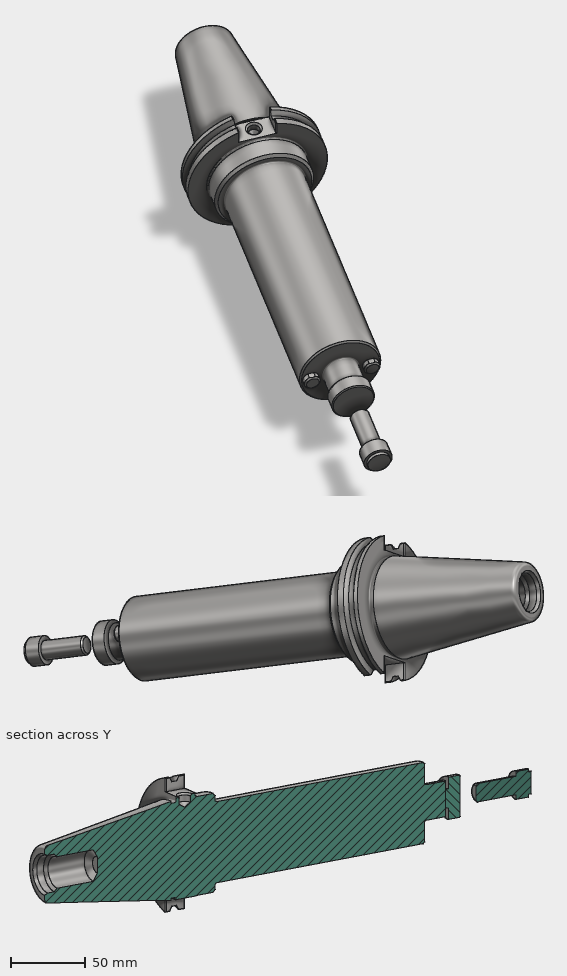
import cadquery as cq
import math

TAPER_LENGTH = 101.5
FLANGE_START = 105.5
FLANGE_END = 121.0
GROOVE_CENTER = 112.5
COLLAR_END = 137.0
BARREL_END = 305.0
PILOT_END = 322.0
DISC_START = 324.0
DISC_END = 333.5
CAP_SCREW_START = 346.0
CAP_HEAD_START = 378.0
CAP_HEAD_SHOULDER = 388.3
OVERALL_LENGTH = 390.5

GAUGE_DIAMETER = 70.0
TAPER_RATIO = 7 / 24
TIP_ROUNDING = 3.0
RELIEF_DIAMETER = 67.0
FLANGE_DIAMETER = 98.5
COLLAR_DIAMETER = 70.0
COLLAR_CHAMFER = 2.0
BARREL_DIAMETER = 57.5
BARREL_CHAMFER = 1.0
PILOT_DIAMETER = 25.5
ROOT_FILLET = 1.0

GROOVE_DEPTH = 3.5
GROOVE_FLOOR_WIDTH = 4.0
GROOVE_HALF_ANGLE = 30

SLOT_WIDTH = 25.8
SLOT_CHAMFER = 0.8
TOP_SLOT_HEIGHT = 37.5
BOTTOM_SLOT_HEIGHT = 35.0

DIMPLE_RIM_DIAMETER = 11.5
DIMPLE_DIAMETER = 8.5
DIMPLE_DEPTH = 6.0

BORE_RIM_DIAMETER = 29.0
BORE_RIM_LENGTH = 2.5
BORE_DIAMETER = 26.0
BORE_DEPTH = 8.0
THREAD_DIAMETER = 22.0
THREAD_DEPTH = 39.0
BORE_FLOOR_DIAMETER = 11.5

DRILL_POINT_ANGLE = 118
SELECT_MARGIN = 0.2

DOG_DIAMETER = 11.5
DOG_HEIGHT = 10.5
DOG_LENGTH = 4.5
DOG_OFFSET = 21.0
DOG_CHAMFER = 1.0

DISC_DIAMETER = 30.0
DISC_CHAMFER = 0.8
DISC_NECK_DIAMETER = 13.5

SCREW_DIAMETER = 13.3
SCREW_CHAMFER = 1.0
SCREW_HEAD_DIAMETER = 20.0
SCREW_BOSS_DIAMETER = 16.0


def drill_point_depth(large_diameter, small_diameter=0.0):
    """Length of a drill cone between two diameters."""
    half_angle = math.radians(DRILL_POINT_ANGLE / 2)
    return (large_diameter - small_diameter) / 2 / math.tan(half_angle)


def rod(start, end, diameter):
    """Cylinder along X between two positions."""
    return cq.Workplane("YZ", origin=(start, 0, 0)).circle(diameter / 2).extrude(end - start)


def turned(points):
    """Solid of revolution around X from (x, radius) points, closed along the axis."""
    first_x = points[0][0]
    last_x = points[-1][0]
    outline = [(first_x, 0)] + points + [(last_x, 0)]
    return cq.Workplane("XY").polyline(outline).close().revolve(360, (0, 0, 0), (1, 0, 0))


def flange_groove():
    outer_radius = FLANGE_DIAMETER / 2
    floor_radius = outer_radius - GROOVE_DEPTH
    floor_half = GROOVE_FLOOR_WIDTH / 2
    mouth_half = floor_half + GROOVE_DEPTH * math.tan(math.radians(GROOVE_HALF_ANGLE))
    outline = [
        (GROOVE_CENTER - mouth_half, outer_radius),
        (GROOVE_CENTER - floor_half, floor_radius),
        (GROOVE_CENTER + floor_half, floor_radius),
        (GROOVE_CENTER + mouth_half, outer_radius),
    ]
    return cq.Workplane("XY").polyline(outline).close().revolve(360, (0, 0, 0), (1, 0, 0))


def drive_slot(side, floor_height):
    """Slot above the axis for side = 1 and below it for side = -1.

    It runs across the flange and the root fillet behind it.
    """
    length = FLANGE_END + ROOT_FILLET - FLANGE_START
    depth = FLANGE_DIAMETER / 2 - floor_height
    middle_x = FLANGE_START + length / 2
    middle_z = side * (floor_height + depth / 2)
    slot = cq.Workplane("XY").box(length, SLOT_WIDTH, depth)
    return slot.translate((middle_x, 0, middle_z))


def drive_slots():
    return drive_slot(1, TOP_SLOT_HEIGHT).union(drive_slot(-1, BOTTOM_SLOT_HEIGHT))


def plain_flange():
    return rod(FLANGE_START, FLANGE_END, FLANGE_DIAMETER)


def slotted_flange():
    """Flange with both drive slots, the edges of their walls chamfered."""
    flange = plain_flange().cut(drive_slots())
    corner_height = math.sqrt((FLANGE_DIAMETER / 2) ** 2 - (SLOT_WIDTH / 2) ** 2)
    along_axis = cq.selectors.ParallelDirSelector(cq.Vector(1, 0, 0))
    for side in (1, -1):
        near_mouth = cq.selectors.BoxSelector(
            (FLANGE_START, -SLOT_WIDTH, side * (corner_height - SELECT_MARGIN)),
            (FLANGE_END, SLOT_WIDTH, side * (corner_height + SELECT_MARGIN)),
        )
        mouth_edges = cq.selectors.AndSelector(along_axis, near_mouth)
        flange = flange.edges(mouth_edges).chamfer(SLOT_CHAMFER)
    return flange.edges("|Z").chamfer(SLOT_CHAMFER)


def holder_blank():
    tip_diameter = GAUGE_DIAMETER - TAPER_LENGTH * TAPER_RATIO
    taper = turned([(0, tip_diameter / 2), (TAPER_LENGTH, GAUGE_DIAMETER / 2)])
    taper = taper.faces("<X").edges().fillet(TIP_ROUNDING)
    relief = rod(TAPER_LENGTH, FLANGE_START, RELIEF_DIAMETER)
    collar = rod(FLANGE_END, COLLAR_END, COLLAR_DIAMETER).faces(">X").chamfer(COLLAR_CHAMFER)
    barrel = rod(COLLAR_END, BARREL_END, BARREL_DIAMETER).faces(">X").chamfer(BARREL_CHAMFER)
    pilot = rod(BARREL_END, PILOT_END, PILOT_DIAMETER)
    blank = taper.union(relief).union(plain_flange()).union(collar).union(barrel).union(pilot)
    for root_x, diameter in (
        (FLANGE_START, RELIEF_DIAMETER),
        (FLANGE_END, COLLAR_DIAMETER),
        (COLLAR_END, BARREL_DIAMETER),
        (BARREL_END, PILOT_DIAMETER),
    ):
        blank = blank.edges(root_edge(root_x, diameter)).fillet(ROOT_FILLET)
    return blank


def root_edge(x, diameter):
    """Selector of the circular edge with this diameter at this X position."""
    reach = diameter / 2 + SELECT_MARGIN
    return cq.selectors.BoxSelector(
        (x - SELECT_MARGIN, -reach, -reach), (x + SELECT_MARGIN, reach, reach), boundingbox=True
    )


def slot_dimple():
    chamfer = (DIMPLE_RIM_DIAMETER - DIMPLE_DIAMETER) / 2
    radius = DIMPLE_DIAMETER / 2
    outline = [
        (0, 0),
        (DIMPLE_RIM_DIAMETER / 2, 0),
        (radius, -chamfer),
        (radius, -DIMPLE_DEPTH),
        (0, -DIMPLE_DEPTH - drill_point_depth(DIMPLE_DIAMETER)),
    ]
    dimple = cq.Workplane("XZ").polyline(outline).close().revolve(360, (0, 0, 0), (0, 1, 0))
    return dimple.translate((GROOVE_CENTER, 0, TOP_SLOT_HEIGHT))


def tip_bore():
    step_chamfer = (BORE_DIAMETER - THREAD_DIAMETER) / 2
    floor_x = THREAD_DEPTH + drill_point_depth(THREAD_DIAMETER, BORE_FLOOR_DIAMETER)
    return turned([
        (0, BORE_RIM_DIAMETER / 2),
        (BORE_RIM_LENGTH, BORE_DIAMETER / 2),
        (BORE_DEPTH, BORE_DIAMETER / 2),
        (BORE_DEPTH + step_chamfer, THREAD_DIAMETER / 2),
        (THREAD_DEPTH, THREAD_DIAMETER / 2),
        (floor_x, BORE_FLOOR_DIAMETER / 2),
    ])


def make_holder():
    slot_cutouts = plain_flange().cut(slotted_flange())
    holder = holder_blank().cut(slot_cutouts).cut(drive_slots())
    return holder.cut(flange_groove()).cut(slot_dimple()).cut(tip_bore())


def make_drive_dog(side):
    """Round dog with flats on top and bottom, standing on the end face of the barrel."""
    end_x = BARREL_END + DOG_LENGTH
    dog = rod(BARREL_END, end_x, DOG_DIAMETER).faces(">X").chamfer(DOG_CHAMFER)
    flats = cq.Workplane("XY").box(2 * end_x, DOG_DIAMETER, DOG_HEIGHT)
    return dog.intersect(flats).translate((0, side * DOG_OFFSET, 0))


def make_retaining_disc():
    neck = rod(PILOT_END, DISC_START, DISC_NECK_DIAMETER)
    disc = rod(DISC_START, DISC_END, DISC_DIAMETER).faces(">X").chamfer(DISC_CHAMFER)
    return neck.union(disc)


def make_cap_screw():
    shank = rod(CAP_SCREW_START, CAP_HEAD_START, SCREW_DIAMETER).faces("<X").chamfer(SCREW_CHAMFER)
    head = rod(CAP_HEAD_START, CAP_HEAD_SHOULDER, SCREW_HEAD_DIAMETER)
    boss = rod(CAP_HEAD_SHOULDER, OVERALL_LENGTH, SCREW_BOSS_DIAMETER)
    return shank.union(head).union(boss)


holder = make_holder()
drive_dogs = [make_drive_dog(side) for side in (1, -1)]
retaining_disc = make_retaining_disc()
cap_screw = make_cap_screw()

result = cq.Compound.makeCompound([
    holder.val(),
    *[dog.val() for dog in drive_dogs],
    retaining_disc.val(),
    cap_screw.val(),
])